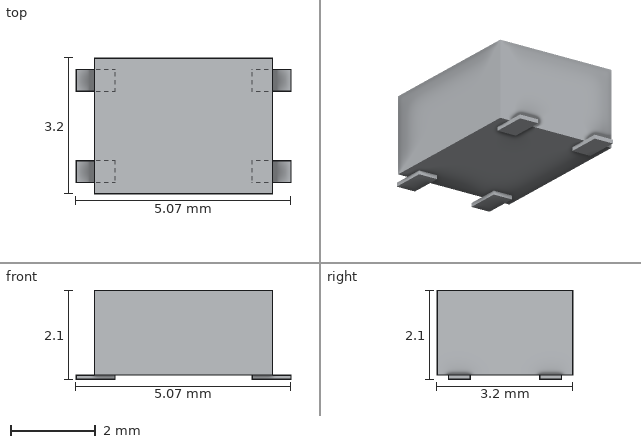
import cadquery as cq

housing_length = 4.2
housing_width = 3.2
housing_height = 2.0

lead_span = 5.07
lead_length = 0.92
lead_width = 0.52
lead_thickness = 0.1
lead_pitch = 2.15

lead_center_x = (lead_span - lead_length) / 2
lead_center_y = lead_pitch / 2


def make_housing():
    """Plain block resting on top of the leads, with its underside at Z = 0."""
    return cq.Workplane("XY").box(
        housing_length, housing_width, housing_height, centered=(True, True, False)
    )


def make_lead(center_x, center_y):
    """Flat strip whose top face touches the housing underside."""
    return (
        cq.Workplane("XY")
        .box(lead_length, lead_width, lead_thickness, centered=(True, True, False))
        .translate((center_x, center_y, -lead_thickness))
    )


housing = make_housing()

leads = [
    make_lead(side_x * lead_center_x, side_y * lead_center_y)
    for side_x in (-1, 1)
    for side_y in (-1, 1)
]

result = cq.Compound.makeCompound([housing.val(), *[lead.val() for lead in leads]])